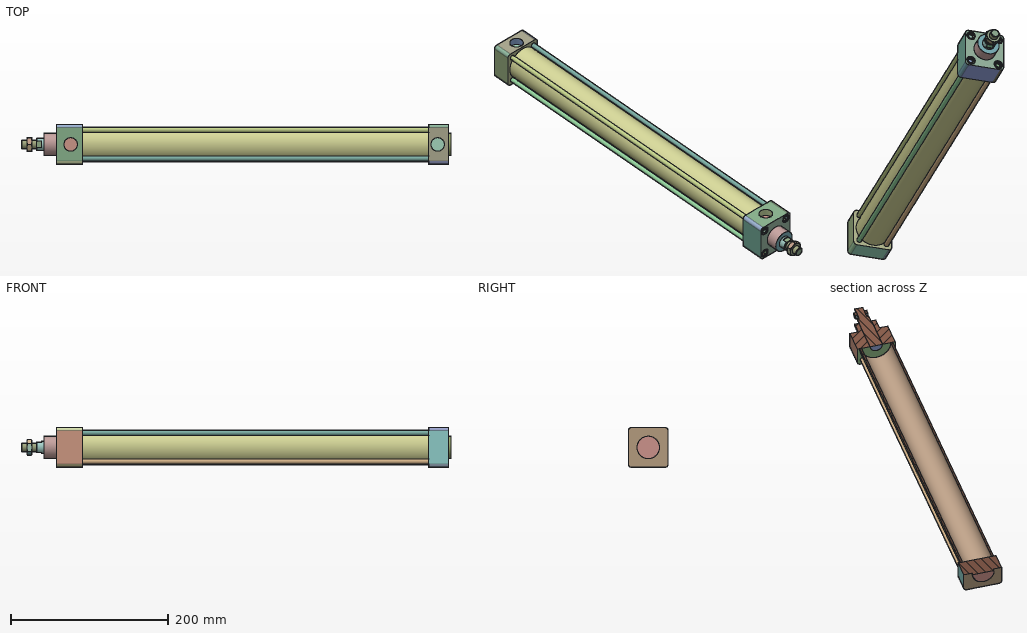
import cadquery as cq
import math

TOTAL_LENGTH = 546.1
NUT_START = 7.1
NUT_WIDTH = 6.35
SHOULDER_X = 19.05
PILOT_FRONT_X = 28.575
HEAD_X = 44.45
HEAD_LENGTH = 33.34
CAP_LENGTH = 25.4
PILOT_REAR_LENGTH = 3.175
CAP_END = TOTAL_LENGTH - PILOT_REAR_LENGTH
CAP_X = CAP_END - CAP_LENGTH
HEAD_END = HEAD_X + HEAD_LENGTH

BLOCK_SIZE = 50.8
CORNER_RADIUS = 4.2
PILOT_DIAMETER = 28.575
PORT_DIAMETER = 17.1
PORT_DEPTH = 10.0
PORT_FROM_HEAD_FRONT = 18.2
PORT_FROM_CAP_FRONT = 11.5

TUBE_OUTER = 44.45
TUBE_INNER = 38.1

ROD_DIAMETER = 15.88
THREAD_DIAMETER = 11.11
TIP_CHAMFER = 0.8
SHOULDER_CHAMFER = 0.8
FLATS_ACROSS = 13.5
FLATS_LENGTH = 6.6

NUT_ACROSS_FLATS = 17.46
NUT_CHAMFER_DROP = 1.35
NUT_CHAMFER_LENGTH = 1.0

TIE_ROD_OFFSET = 18.16
TIE_ROD_DIAMETER = 6.35
TIE_HEAD_DIAMETER = 9.4
TIE_HEAD_LENGTH = 6.35
TIE_HEAD_RECESS = 1.0
COUNTERBORE_DIAMETER = 11.18
COUNTERBORE_DEPTH = TIE_HEAD_LENGTH + TIE_HEAD_RECESS
SOCKET_ACROSS_FLATS = 6.0
SOCKET_DEPTH = 3.0
TIE_ROD_CAP_ENGAGEMENT = 15.0
TIE_ROD_END = CAP_X + TIE_ROD_CAP_ENGAGEMENT

TIE_ROD_COUNT = 4
TIE_ROD_SPACING_ANGLE = 360 / TIE_ROD_COUNT


def plane_at(x):
    """YZ plane at station x, with its normal along +X."""
    return cq.Workplane("YZ", origin=(x, 0, 0))


def rod_between(x_start, x_end, diameter):
    return plane_at(x_start).circle(diameter / 2).extrude(x_end - x_start)


def end_block(x_start, length, port_x):
    """Square block with rounded long edges and a blind port in its top face."""
    block = plane_at(x_start).rect(BLOCK_SIZE, BLOCK_SIZE).extrude(length)
    block = block.edges("|X").fillet(CORNER_RADIUS)
    port = (
        cq.Workplane("XY", origin=(port_x, 0, BLOCK_SIZE / 2 - PORT_DEPTH))
        .circle(PORT_DIAMETER / 2)
        .extrude(PORT_DEPTH)
    )
    return block.cut(port)


def hexagon_prism(x_start, length, across_flats):
    """Hexagonal prism along X with corners pointing up and down."""
    prism = plane_at(x_start).polygon(6, hexagon_corners(across_flats)).extrude(length)
    return prism.rotate((0, 0, 0), (1, 0, 0), 90)


def hexagon_corners(across_flats):
    return across_flats / math.cos(math.pi / 6)


def tie_rod_holes(x_start, x_end, diameter):
    pattern_size = 2 * TIE_ROD_OFFSET
    return (
        plane_at(x_start)
        .rect(pattern_size, pattern_size, forConstruction=True)
        .vertices()
        .circle(diameter / 2)
        .extrude(x_end - x_start)
    )


def make_head():
    """Front block with its pilot, rod bore and recesses for the tie-rod heads."""
    head = end_block(HEAD_X, HEAD_LENGTH, HEAD_X + PORT_FROM_HEAD_FRONT)
    head = head.union(rod_between(PILOT_FRONT_X, HEAD_X, PILOT_DIAMETER))
    head = head.cut(rod_between(PILOT_FRONT_X, HEAD_END, ROD_DIAMETER))
    head = head.cut(tie_rod_holes(HEAD_X, HEAD_X + COUNTERBORE_DEPTH, COUNTERBORE_DIAMETER))
    return head.cut(tie_rod_holes(HEAD_X, HEAD_END, TIE_ROD_DIAMETER))


def make_cap():
    """Rear block with a short pilot and blind tie-rod holes."""
    cap = end_block(CAP_X, CAP_LENGTH, CAP_X + PORT_FROM_CAP_FRONT)
    cap = cap.union(rod_between(CAP_END, TOTAL_LENGTH, PILOT_DIAMETER))
    return cap.cut(tie_rod_holes(CAP_X, TIE_ROD_END, TIE_ROD_DIAMETER))


def make_tube():
    return rod_between(HEAD_END, CAP_X, TUBE_OUTER).cut(rod_between(HEAD_END, CAP_X, TUBE_INNER))


def make_piston_rod():
    """Rod with two wrench flats behind its shoulder and a thinner threaded end."""
    thread = rod_between(0, SHOULDER_X, THREAD_DIAMETER).faces("<X").chamfer(TIP_CHAMFER)
    shank = rod_between(SHOULDER_X, HEAD_END, ROD_DIAMETER).faces("<X").chamfer(SHOULDER_CHAMFER)
    flat_band = plane_at(SHOULDER_X).rect(ROD_DIAMETER, ROD_DIAMETER).rect(ROD_DIAMETER, FLATS_ACROSS)
    return shank.cut(flat_band.extrude(FLATS_LENGTH)).union(thread)


def make_lock_nut():
    """Hexagonal nut with its corners turned down at both faces."""
    nut = hexagon_prism(NUT_START, NUT_WIDTH, NUT_ACROSS_FLATS)
    turned_blank = (
        rod_between(NUT_START, NUT_START + NUT_WIDTH, hexagon_corners(NUT_ACROSS_FLATS))
        .faces("<X or >X")
        .chamfer(NUT_CHAMFER_LENGTH, NUT_CHAMFER_DROP)
    )
    return nut.intersect(turned_blank).cut(rod_between(0, SHOULDER_X, THREAD_DIAMETER))


def make_tie_rod(turn):
    """Socket-head tie rod in one corner, turned about the cylinder axis."""
    head_start = HEAD_X + TIE_HEAD_RECESS
    shank = rod_between(head_start, TIE_ROD_END, TIE_ROD_DIAMETER)
    screw_head = rod_between(head_start, head_start + TIE_HEAD_LENGTH, TIE_HEAD_DIAMETER)
    socket = hexagon_prism(head_start, SOCKET_DEPTH, SOCKET_ACROSS_FLATS)
    tie_rod = shank.union(screw_head).cut(socket)
    tie_rod = tie_rod.translate((0, TIE_ROD_OFFSET, TIE_ROD_OFFSET))
    return tie_rod.rotate((0, 0, 0), (1, 0, 0), turn)


head = make_head()
cap = make_cap()
tube = make_tube()
piston_rod = make_piston_rod()
lock_nut = make_lock_nut()
tie_rods = [make_tie_rod(i * TIE_ROD_SPACING_ANGLE) for i in range(TIE_ROD_COUNT)]

result = cq.Compound.makeCompound(
    [head.val(), cap.val(), tube.val(), piston_rod.val(), lock_nut.val()]
    + [tie_rod.val() for tie_rod in tie_rods]
)